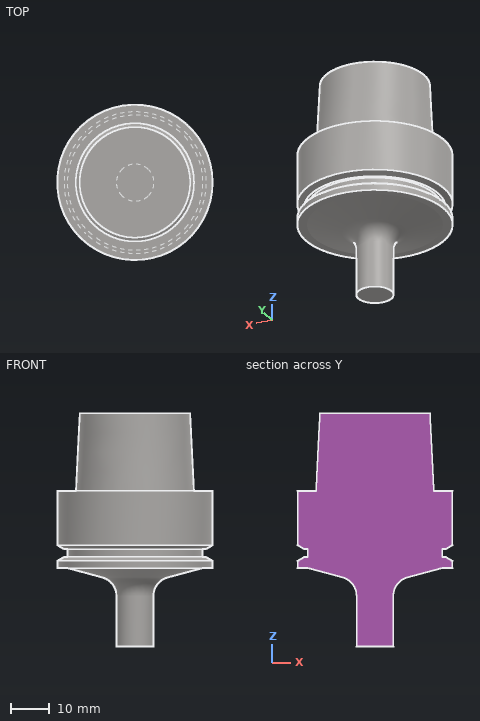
import cadquery as cq
import math

total_height = 59.9
flange_bottom = 20.1
collar_top = 39.95
stem_top = 13.05

stem_diameter = 9.6
collar_diameter = 39.95
groove_diameter = 34.75
cone_foot_diameter = 30.35
cone_top_diameter = 28.4

rim_height = 1.85
groove_floor_height = 2.0
groove_bevel_height = 1.0
groove_bevel_width = 1.75

blend_radius = 4.8
underside_angle = math.radians(15)

stem_radius = stem_diameter / 2
collar_radius = collar_diameter / 2
groove_radius = groove_diameter / 2
bevel_radius = collar_radius - groove_bevel_width
rim_top = flange_bottom + rim_height
groove_floor_bottom = rim_top + groove_bevel_height
groove_floor_top = groove_floor_bottom + groove_floor_height


def blend_point(angle):
    """Point on the blend arc, turned by angle from its tangency with the stem."""
    return (
        stem_radius + blend_radius * (1 - math.cos(angle)),
        stem_top + blend_radius * math.sin(angle),
    )


blend_angle = math.pi / 2 - underside_angle
blend_end_radius, blend_end_height = blend_point(blend_angle)
underside_rise = flange_bottom - blend_end_height
hub_radius = blend_end_radius + underside_rise / math.tan(underside_angle)

profile = (
    cq.Workplane("XZ")
    .moveTo(0, 0)
    .lineTo(stem_radius, 0)
    .lineTo(stem_radius, stem_top)
    .threePointArc(blend_point(blend_angle / 2), (blend_end_radius, blend_end_height))
    .lineTo(hub_radius, flange_bottom)
    .lineTo(collar_radius, flange_bottom)
    .lineTo(collar_radius, rim_top)
    .lineTo(bevel_radius, groove_floor_bottom)
    .lineTo(groove_radius, groove_floor_bottom)
    .lineTo(groove_radius, groove_floor_top)
    .lineTo(bevel_radius, groove_floor_top)
    .lineTo(collar_radius, groove_floor_top + groove_bevel_height)
    .lineTo(collar_radius, collar_top)
    .lineTo(cone_foot_diameter / 2, collar_top)
    .lineTo(cone_top_diameter / 2, total_height)
    .lineTo(0, total_height)
    .close()
)

result = profile.revolve(360, (0, 0, 0), (0, 1, 0))